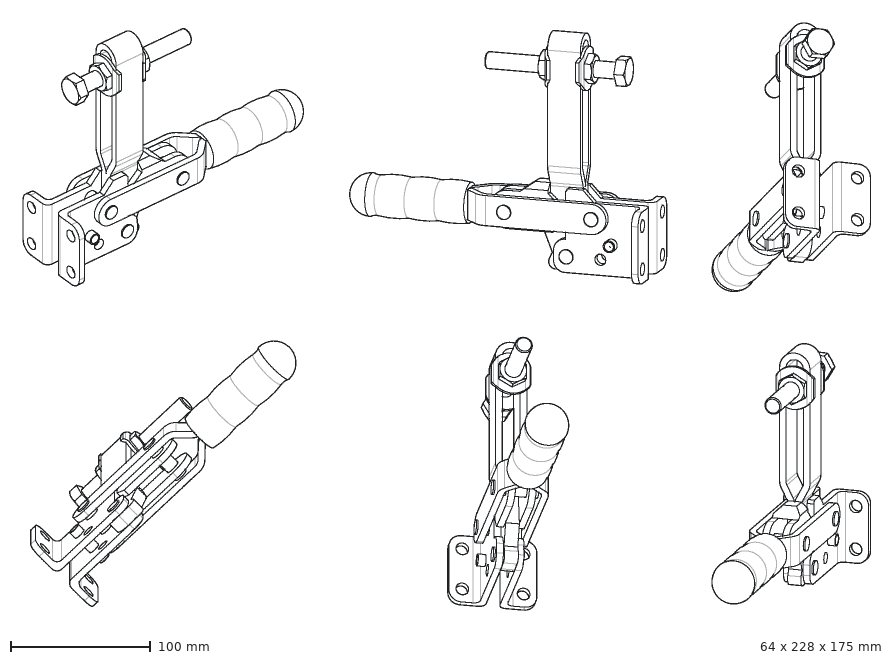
import cadquery as cq
import math


STRIP = 5.0
BIG = 228.0

PIVOT_RADIUS = 5.2
ARM_PIVOT = (61.8, 11.9)
LEVER_PIVOT = (40.1, 43.0)
LINK_PIVOT = (106.0, 43.0)
ARM_PIVOT_HEAD = 1.1
LEVER_PIN_HEAD = 1.1

WALL_INNER = STRIP
WALL_OUTER = WALL_INNER + STRIP
BASE_WIDTH = 64.0
BASE_HEIGHT = 53.0
BEND_INNER_RADIUS = 4.5
FLANGE_CORNER = 9.0
MOUNT_HOLE_X = 22.3
MOUNT_HOLE_PITCH = 32.0
MOUNT_HOLE_RADIUS = 4.5
CHEEK_TOP = 62.0
CHEEK_BACK = 62.5
CHEEK_FRONT = 49.2
CHEEK_CHAMFER_Y = 1.5
CHEEK_CHAMFER_Z = 2.5
CHEEK_FOOT = 40.5
LOBE_BACK = 71.4
LOBE_TOP = 24.6
LOBE_RADIUS = 8.5
STOP_TUBE = (27.5, 23.3)
STOP_TUBE_RADIUS = 4.3
STOP_TUBE_BORE = 3.5
STOP_TUBE_HALF = 15.7
SPARE_HOLE = (36.0, 11.6)
SPARE_HOLE_RADIUS = 4.0

LEVER_HALF_WIDTH = 18.5
LEVER_HEIGHT = 22.3
LEVER_BEND_START = 120.0
LEVER_BEND_END = 141.8
LEVER_BEND_RADIUS = 7.5
TANG_END = 193.8
GRIP_START = 137.7
GRIP_LOBE = 22.5
GRIP_LOBES = 3
GRIP_WAIST = 14.8
GRIP_RADIUS = 31.7 / 2
GRIP_END = 228.0

LINK_END_RADIUS = 14.1
LINK_TIP = 65.0
LINK_TIP_HALF = 4.5
LINK_TIP_BOTTOM = 72.0
HUMP_TOP = 64.3
HUMP_SHOULDER = 59.5
HUMP_RAMP_FOOT = 97.0
HUMP_RAMP_HEAD = 86.6

ARM_FRONT = 50.6
ARM_BACK = 75.5
ARM_TOP = 175.0
ARM_HALF_WIDTH = 23.0 / 2
ARM_BEND_START = 78.2
ARM_BEND_END = CHEEK_TOP
ARM_BEND_RADIUS = 5.0
HEEL_BACK = 80.3
HEEL_HEIGHT = 28.5
TOE_RADIUS = 5.2
TOE_CENTRE_Y = 71.5
TOE_RISE_ANGLE = 30.0
NOTCH = (74.0, 13.0)

SPINDLE_Z = 149.5
SPINDLE_RADIUS = 6.2
SPINDLE_TIP = 125.0
TIP_CHAMFER = 1.0
HEAD_START = 17.5
HEAD_THICKNESS = 8.0
HEX_CORNER_RADIUS = 11.2
NUT_THICKNESS = 5.5
HEAD_TURN = 0.0
NUT_TURN = 30.0
CORNER_SLOPE = 0.58
WASHER_RADIUS = 16.0
WASHER_THICKNESS = 2.3
WASHER_HALF_WIDTH = 28.5 / 2
WASHER_BEND_START = 10.0
WASHER_BEND_RADIUS = 4.3
WASHER_BEND_ANGLE = 45.0


def cross_pin(centre, radius, half_length):
    """Round bar along X, centred on X = 0, through the (Y, Z) point."""
    return cq.Workplane("YZ").center(*centre).circle(radius).extrude(half_length, both=True)


def cylinder_y(radius, start, end):
    """Round bar on the spindle axis."""
    return cq.Workplane("XZ", origin=(0, start, SPINDLE_Z)).circle(radius).extrude(start - end)


def fork_half(plane, half_width, inside_radius, leg_end, bend_start, bend_end, stem_end):
    """Half of a flat fork outline: one leg that bends in to meet its mirror image on the centre line.

    Distances run along the plane's second axis. The leg is straight from leg_end to bend_start,
    and the stem is straight from bend_end to stem_end.
    """
    outside_radius = inside_radius + STRIP
    toward_stem = math.copysign(1, bend_end - bend_start)
    run = abs(bend_end - bend_start)
    leg_centre = half_width - outside_radius
    stem_centre = STRIP + inside_radius
    offset = stem_centre - leg_centre
    tangent = math.asin((outside_radius + inside_radius) / math.hypot(run, offset))
    angle = tangent - math.atan2(offset, run)

    def leg_bend(radius, turn):
        return (leg_centre + radius * math.cos(turn), bend_start + toward_stem * radius * math.sin(turn))

    def stem_bend(radius, turn):
        return (stem_centre - radius * math.cos(turn), bend_end - toward_stem * radius * math.sin(turn))

    half = angle / 2
    return (
        cq.Workplane(plane)
        .moveTo(0, stem_end)
        .lineTo(STRIP, stem_end)
        .lineTo(*stem_bend(inside_radius, 0))
        .threePointArc(stem_bend(inside_radius, half), stem_bend(inside_radius, angle))
        .lineTo(*leg_bend(outside_radius, angle))
        .threePointArc(leg_bend(outside_radius, half), leg_bend(outside_radius, 0))
        .lineTo(half_width, leg_end)
        .lineTo(half_width - STRIP, leg_end)
        .lineTo(*leg_bend(inside_radius, 0))
        .threePointArc(leg_bend(inside_radius, half), leg_bend(inside_radius, angle))
        .lineTo(*stem_bend(outside_radius, angle))
        .threePointArc(stem_bend(outside_radius, half), stem_bend(outside_radius, 0))
        .close()
    )


def hexagon(start, thickness, corner_angle, chamfered_end):
    """Hexagonal block on the spindle axis, its corners chamfered on the face at chamfered_end."""
    end = start + thickness
    block = (
        cq.Workplane("XZ", origin=(0, start, SPINDLE_Z))
        .transformed(rotate=(0, 0, corner_angle))
        .polygon(6, 2 * HEX_CORNER_RADIUS)
        .extrude(-thickness)
    )
    face_radius = HEX_CORNER_RADIUS * math.cos(math.pi / 6)
    inward = math.copysign(1, start + thickness / 2 - chamfered_end)
    drop = inward * CORNER_SLOPE * (HEX_CORNER_RADIUS - face_radius)
    other_end = start + end - chamfered_end
    envelope = (
        cq.Workplane("XY", origin=(0, 0, SPINDLE_Z))
        .moveTo(0, chamfered_end)
        .lineTo(face_radius, chamfered_end)
        .lineTo(HEX_CORNER_RADIUS, chamfered_end + drop)
        .lineTo(HEX_CORNER_RADIUS, other_end)
        .lineTo(0, other_end)
        .close()
        .revolve(360, (0, 0, 0), (0, 1, 0))
    )
    return block.intersect(envelope)


def bracket():
    flange_edge = BASE_WIDTH / 2
    plan = (
        cq.Workplane("XY")
        .moveTo(WALL_INNER, LOBE_BACK)
        .lineTo(WALL_INNER, STRIP)
        .radiusArc((WALL_OUTER, 0), -STRIP)
        .lineTo(flange_edge, 0)
        .lineTo(flange_edge, STRIP)
        .lineTo(WALL_OUTER + BEND_INNER_RADIUS, STRIP)
        .radiusArc((WALL_OUTER, STRIP + BEND_INNER_RADIUS), BEND_INNER_RADIUS)
        .lineTo(WALL_OUTER, LOBE_BACK)
        .close()
        .extrude(CHEEK_TOP)
    )
    outline = (
        cq.Workplane("YZ")
        .moveTo(0, 0)
        .lineTo(LOBE_BACK - LOBE_RADIUS, 0)
        .radiusArc((LOBE_BACK, LOBE_RADIUS), -LOBE_RADIUS)
        .lineTo(LOBE_BACK, LOBE_TOP - LOBE_RADIUS)
        .radiusArc((LOBE_BACK - LOBE_RADIUS, LOBE_TOP), -LOBE_RADIUS)
        .lineTo(CHEEK_BACK, LOBE_TOP)
        .lineTo(CHEEK_BACK, CHEEK_TOP - CHEEK_CHAMFER_Z)
        .lineTo(CHEEK_BACK - CHEEK_CHAMFER_Y, CHEEK_TOP)
        .lineTo(CHEEK_FRONT, CHEEK_TOP)
        .lineTo(CHEEK_FOOT, BASE_HEIGHT)
        .lineTo(0, BASE_HEIGHT)
        .close()
        .extrude(flange_edge)
    )
    body = plan.intersect(outline)
    body = body.edges("|Y and >X").fillet(FLANGE_CORNER)
    mount_holes = (
        cq.Workplane("XZ", origin=(MOUNT_HOLE_X, 0, BASE_HEIGHT / 2))
        .rarray(2.3, MOUNT_HOLE_PITCH, 1, 2)
        .circle(MOUNT_HOLE_RADIUS)
        .extrude(-STRIP)
    )
    spare_hole = cross_pin(SPARE_HOLE, SPARE_HOLE_RADIUS, BIG)
    lever_pin_hole = cross_pin(LEVER_PIVOT, PIVOT_RADIUS, BIG)
    return body.cut(mount_holes).cut(spare_hole).cut(lever_pin_hole)


def build_base():
    right = bracket()
    return (
        right.union(right.mirror("YZ"))
        .union(cross_pin(ARM_PIVOT, PIVOT_RADIUS, WALL_OUTER + ARM_PIVOT_HEAD))
        .union(cross_pin(STOP_TUBE, STOP_TUBE_RADIUS, STOP_TUBE_HALF))
        .cut(cross_pin(STOP_TUBE, STOP_TUBE_BORE, STOP_TUBE_HALF))
    )


def build_lever():
    end_radius = LEVER_HEIGHT / 2
    pivot_y, pivot_z = LEVER_PIVOT
    half = fork_half(
        "XY", LEVER_HALF_WIDTH, LEVER_BEND_RADIUS, pivot_y, LEVER_BEND_START, LEVER_BEND_END, TANG_END
    ).extrude(LEVER_HEIGHT)
    rounded_end = (
        cq.Workplane("YZ", origin=(LEVER_HALF_WIDTH - STRIP, pivot_y, end_radius))
        .circle(end_radius)
        .extrude(STRIP)
    )
    half = half.union(rounded_end).translate((0, 0, pivot_z - end_radius))
    strip = half.union(half.mirror("YZ"))
    pin_half = LEVER_HALF_WIDTH + LEVER_PIN_HEAD
    for pivot in (LEVER_PIVOT, LINK_PIVOT):
        strip = strip.union(cross_pin(pivot, PIVOT_RADIUS, pin_half))
    return strip


def build_grip(lever_body):
    dome_start = GRIP_END - GRIP_RADIUS
    profile = cq.Workplane("XY").moveTo(0, GRIP_START).lineTo(GRIP_WAIST, GRIP_START)
    for lobe in range(GRIP_LOBES):
        start = GRIP_START + lobe * GRIP_LOBE
        profile = profile.threePointArc((GRIP_RADIUS, start + GRIP_LOBE / 2), (GRIP_WAIST, start + GRIP_LOBE))
    diagonal = GRIP_RADIUS * math.sqrt(0.5)
    solid = (
        profile.tangentArcPoint((GRIP_RADIUS, dome_start), relative=False)
        .threePointArc((diagonal, dome_start + diagonal), (0, GRIP_END))
        .close()
        .revolve(360, (0, 0, 0), (0, 1, 0))
        .translate((0, 0, LEVER_PIVOT[1]))
    )
    return solid.cut(lever_body)


def build_link():
    pivot_y, pivot_z = LINK_PIVOT
    top = pivot_z + LINK_END_RADIUS
    bottom = pivot_z - LINK_END_RADIUS
    outline = (
        cq.Workplane("YZ")
        .moveTo(pivot_y, bottom)
        .threePointArc((pivot_y + LINK_END_RADIUS, pivot_z), (pivot_y, top))
        .lineTo(HUMP_RAMP_FOOT, top)
        .lineTo(HUMP_RAMP_HEAD, HUMP_TOP)
        .lineTo(ARM_BACK, HUMP_TOP)
        .lineTo(ARM_BACK, top)
        .lineTo(LINK_TIP, pivot_z + LINK_TIP_HALF)
        .lineTo(LINK_TIP, pivot_z - LINK_TIP_HALF)
        .lineTo(LINK_TIP_BOTTOM, bottom)
        .close()
        .extrude(WALL_OUTER, both=True)
    )
    ridge = WALL_OUTER - (HUMP_TOP - HUMP_SHOULDER)
    section = (
        cq.Workplane("XZ")
        .polyline([
            (-WALL_OUTER, 0),
            (WALL_OUTER, 0),
            (WALL_OUTER, HUMP_SHOULDER),
            (ridge, HUMP_TOP),
            (-ridge, HUMP_TOP),
            (-WALL_OUTER, HUMP_SHOULDER),
        ])
        .close()
        .extrude(-BIG)
    )
    slot = cq.Workplane("XY").rect(2 * WALL_INNER, 2 * BIG).extrude(top)
    return outline.intersect(section).cut(slot).cut(cross_pin(LINK_PIVOT, PIVOT_RADIUS, BIG))


def build_arm():
    pivot_y, pivot_z = ARM_PIVOT
    loop_z = ARM_TOP - ARM_HALF_WIDTH
    heel_top = LINK_PIVOT[1] + LINK_END_RADIUS
    leg = fork_half(
        "XZ", ARM_HALF_WIDTH, ARM_BEND_RADIUS, loop_z, ARM_BEND_START, ARM_BEND_END, heel_top
    ).extrude(ARM_FRONT - ARM_BACK)
    loop = (
        cq.Workplane("XZ")
        .center(0, loop_z)
        .moveTo(-ARM_HALF_WIDTH, 0)
        .radiusArc((ARM_HALF_WIDTH, 0), ARM_HALF_WIDTH)
        .lineTo(ARM_HALF_WIDTH - STRIP, 0)
        .radiusArc((STRIP - ARM_HALF_WIDTH, 0), STRIP - ARM_HALF_WIDTH)
        .close()
        .extrude(ARM_FRONT - ARM_BACK)
    )
    strap = leg.union(leg.mirror("YZ")).union(loop).translate((0, ARM_FRONT, 0))

    foot_radius = pivot_y - ARM_FRONT
    foot_bottom = pivot_z - foot_radius
    toe_z = foot_bottom + TOE_RADIUS
    rise = math.radians(TOE_RISE_ANGLE)
    toe_end = (TOE_CENTRE_Y + TOE_RADIUS * math.cos(rise), toe_z + TOE_RADIUS * math.sin(rise))
    stem = (
        cq.Workplane("YZ")
        .moveTo(ARM_BACK, heel_top)
        .lineTo(ARM_FRONT, heel_top)
        .lineTo(ARM_FRONT, pivot_z)
        .radiusArc((pivot_y, foot_bottom), -foot_radius)
        .lineTo(TOE_CENTRE_Y, foot_bottom)
        .radiusArc(toe_end, -TOE_RADIUS)
        .lineTo(*NOTCH)
        .lineTo(HEEL_BACK, HEEL_HEIGHT)
        .close()
        .extrude(STRIP, both=True)
    )
    return strap.union(stem).cut(cross_pin(ARM_PIVOT, PIVOT_RADIUS, BIG))


def build_spindle():
    shank = cylinder_y(SPINDLE_RADIUS, HEAD_START, SPINDLE_TIP).faces(">Y").chamfer(TIP_CHAMFER)
    head = hexagon(HEAD_START, HEAD_THICKNESS, HEAD_TURN, HEAD_START)
    return shank.union(head)


def build_washer(outward):
    """Washer on the arm's front (outward = -1) or back (outward = 1) edge."""
    seat = ARM_BACK if outward > 0 else ARM_FRONT
    outer_face = WASHER_THICKNESS
    bend_centre = outer_face - WASHER_BEND_RADIUS
    angle = math.radians(WASHER_BEND_ANGLE)

    def on_bend(turn):
        along = WASHER_BEND_START + WASHER_BEND_RADIUS * math.sin(turn)
        return (along, bend_centre + WASHER_BEND_RADIUS * math.cos(turn))

    def at_edge(point):
        return (WASHER_HALF_WIDTH, point[1] - (WASHER_HALF_WIDTH - point[0]) * math.tan(angle))

    bend_end = on_bend(angle)
    inner_corner = (ARM_HALF_WIDTH, 0)
    half = (
        cq.Workplane("XY")
        .moveTo(0, outer_face)
        .lineTo(WASHER_BEND_START, outer_face)
        .threePointArc(on_bend(angle / 2), bend_end)
        .lineTo(*at_edge(bend_end))
        .lineTo(*at_edge(inner_corner))
        .lineTo(*inner_corner)
        .lineTo(0, 0)
        .close()
        .extrude(WASHER_RADIUS, both=True)
    )
    channel = half.union(half.mirror("YZ"))
    if outward < 0:
        channel = channel.mirror("XZ")
    channel = channel.translate((0, seat, SPINDLE_Z))
    rim = cylinder_y(WASHER_RADIUS, 0, BIG)
    return channel.intersect(rim).cut(cylinder_y(SPINDLE_RADIUS, 0, BIG))


def build_nut(outward):
    """Nut clamping the washer on the arm's front (outward = -1) or back (outward = 1) edge."""
    if outward > 0:
        inner_face = ARM_BACK + WASHER_THICKNESS
    else:
        inner_face = ARM_FRONT - WASHER_THICKNESS
    free_face = inner_face + outward * NUT_THICKNESS
    start = min(inner_face, free_face)
    return hexagon(start, NUT_THICKNESS, NUT_TURN, free_face).cut(cylinder_y(SPINDLE_RADIUS, 0, BIG))


base = build_base()
lever = build_lever()
grip = build_grip(lever)
link = build_link()
arm = build_arm()
spindle = build_spindle()
arm_sides = (-1, 1)
washers = [build_washer(side) for side in arm_sides]
nuts = [build_nut(side) for side in arm_sides]

bodies = [base, lever, grip, link, arm, spindle, *washers, *nuts]
result = cq.Compound.makeCompound([body.val() for body in bodies])